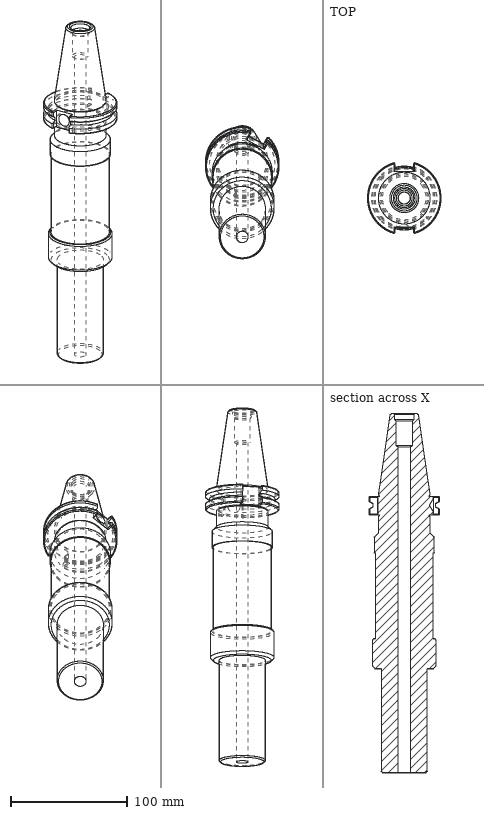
import cadquery as cq
import math

total_height = 309.2

shaft_dia = 40.0
shaft_chamfer = 1.2

lower_collar_dia = 55.0
lower_collar_bottom = 89.5
lower_collar_top = 115.5
lower_collar_bottom_chamfer = 2.5
lower_collar_top_chamfer = 1.2

body_dia = 50.0
upper_collar_dia = 52.0
upper_collar_bottom = 189.0
upper_collar_shoulder = 203.0

neck_dia = 44.5

flange_dia = 63.5
flange_bottom = 221.7
flange_top = 237.8
flange_chamfer = 1.0
groove_dia = 56.3
groove_middle = 230.0
groove_floor_width = 2.8
groove_half_angle = 30.0

undercut_dia = 42.0
undercut_width = 1.2

taper_base = 241.0
taper_rate = 7 / 24
taper_top_chamfer = 1.2

slot_width = 16.0
slot_edge_chamfer = 1.0
front_slot_floor = 25.0
back_slot_floor = 23.0

drill_tip_angle = 118.0

dimple_dia = 10.8

through_dia = 10.2
thread_dia = 13.5
thread_depth = 27.8
mouth_dia = 16.5
mouth_depth = 5.3
mouth_chamfer = 1.2


def revolve_profile(points):
    """Revolve (radius, height) points about the Z axis."""
    return cq.Workplane("XZ").polyline(points).close().revolve(360, (0, 0, 0), (0, 1, 0))


def drill_tip_length(radius_change):
    """Length over which a drill point closes in by the given radius."""
    return radius_change / math.tan(math.radians(drill_tip_angle / 2))


def make_outer_body():
    """Solid of revolution with every outside diameter, from the shaft up to the taper tip."""
    shaft_r = shaft_dia / 2
    lower_r = lower_collar_dia / 2
    body_r = body_dia / 2
    upper_r = upper_collar_dia / 2
    neck_r = neck_dia / 2
    flange_r = flange_dia / 2
    undercut_r = undercut_dia / 2
    groove_r = groove_dia / 2
    upper_collar_top = upper_collar_shoulder + upper_r - neck_r
    floor_half = groove_floor_width / 2
    rim_half = floor_half + (flange_r - groove_r) * math.tan(math.radians(groove_half_angle))
    tip_r = neck_r - (total_height - taper_base) * taper_rate / 2
    return revolve_profile([
        (0, 0),
        (shaft_r - shaft_chamfer, 0),
        (shaft_r, shaft_chamfer),
        (shaft_r, lower_collar_bottom),
        (lower_r - lower_collar_bottom_chamfer, lower_collar_bottom),
        (lower_r, lower_collar_bottom + lower_collar_bottom_chamfer),
        (lower_r, lower_collar_top - lower_collar_top_chamfer),
        (lower_r - lower_collar_top_chamfer, lower_collar_top),
        (body_r, lower_collar_top),
        (body_r, upper_collar_bottom),
        (upper_r, upper_collar_bottom),
        (upper_r, upper_collar_shoulder),
        (neck_r, upper_collar_top),
        (neck_r, flange_bottom - undercut_width),
        (undercut_r, flange_bottom),
        (flange_r - flange_chamfer, flange_bottom),
        (flange_r, flange_bottom + flange_chamfer),
        (flange_r, groove_middle - rim_half),
        (groove_r, groove_middle - floor_half),
        (groove_r, groove_middle + floor_half),
        (flange_r, groove_middle + rim_half),
        (flange_r, flange_top - flange_chamfer),
        (flange_r - flange_chamfer, flange_top),
        (undercut_r, flange_top),
        (neck_r, flange_top + undercut_width),
        (neck_r, taper_base),
        (tip_r + taper_top_chamfer * taper_rate / 2, total_height - taper_top_chamfer),
        (tip_r - taper_top_chamfer, total_height),
        (0, total_height),
    ])


def make_bore():
    """Through hole with a threaded-size step and a chamfered mouth at the taper tip."""
    through_r = through_dia / 2
    thread_r = thread_dia / 2
    mouth_r = mouth_dia / 2
    thread_end = total_height - thread_depth
    tip_height = drill_tip_length(thread_r - through_r)
    mouth_end = total_height - mouth_depth
    return revolve_profile([
        (0, 0),
        (through_r, 0),
        (through_r, thread_end - tip_height),
        (thread_r, thread_end),
        (thread_r, mouth_end - (mouth_r - thread_r)),
        (mouth_r, mouth_end),
        (mouth_r, total_height - mouth_chamfer),
        (mouth_r + mouth_chamfer, total_height),
        (0, total_height),
    ])


def make_slot(floor, side):
    """Drive slot through the flange on the side = +1 or -1 of Y, with bevelled edges."""
    half = slot_width / 2
    rim_r = flange_dia / 2
    corner = math.sqrt(rim_r ** 2 - (half + slot_edge_chamfer) ** 2)
    flare_start = corner - slot_edge_chamfer
    flare_half = half + rim_r - flare_start
    slot = (
        cq.Workplane("XY", origin=(0, 0, flange_bottom))
        .polyline([
            (-half, side * floor),
            (half, side * floor),
            (half, side * flare_start),
            (flare_half, side * rim_r),
            (-flare_half, side * rim_r),
            (-half, side * flare_start),
        ])
        .close()
        .extrude(flange_top - flange_bottom)
    )
    depth = rim_r - floor
    for face, inward in ((flange_bottom, 1), (flange_top, -1)):
        bevel_end = face + inward * slot_edge_chamfer
        bevel = (
            cq.Workplane("XZ", origin=(0, side * (floor + depth / 2), 0))
            .polyline([
                (-half, bevel_end),
                (half, bevel_end),
                (half + slot_edge_chamfer, face),
                (-half - slot_edge_chamfer, face),
            ])
            .close()
            .extrude(depth / 2, both=True)
        )
        slot = slot.union(bevel)
    return slot


def make_dimple():
    return cq.Workplane(obj=cq.Solid.makeCone(
        dimple_dia / 2, 0, drill_tip_length(dimple_dia / 2),
        pnt=cq.Vector(0, -front_slot_floor, groove_middle), dir=cq.Vector(0, 1, 0),
    ))


result = (
    make_outer_body()
    .cut(make_bore())
    .cut(make_slot(front_slot_floor, -1))
    .cut(make_slot(back_slot_floor, 1))
    .cut(make_dimple())
)